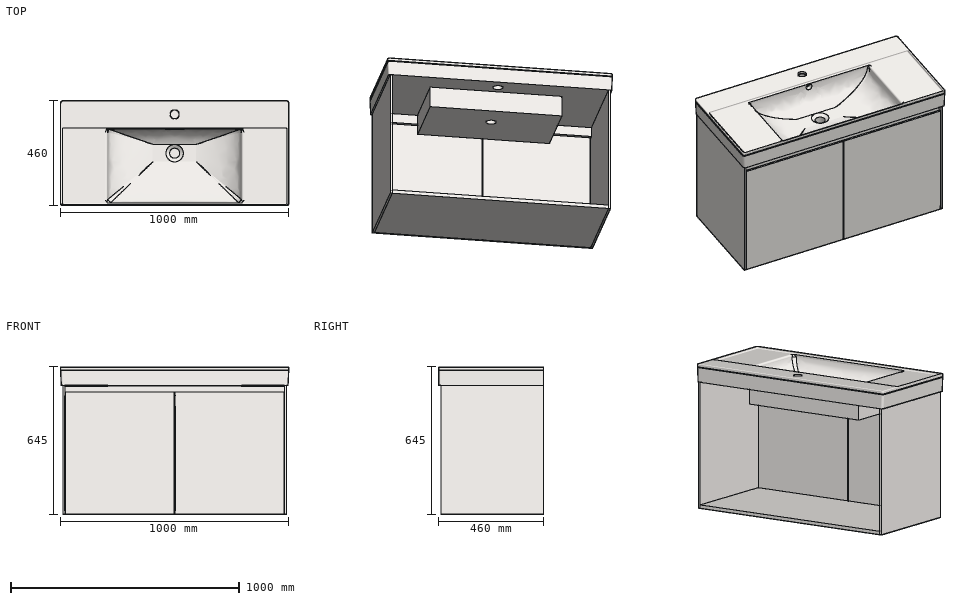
import cadquery as cq
import math


basin_width = 1000.0
basin_depth = 460.0
total_height = 645.0
skirt_height = 80.0
back_y = basin_depth / 2
front_y = -basin_depth / 2
skirt_z = total_height - skirt_height

side_draft = 3.0
corner_radius = 10.0
top_edge_radius = 3.0
groove_drop = 13.0
groove_height = 3.0
groove_depth = 2.0

recess_depth = 10.0
recess_rim_radius = 2.0
recess_floor_radius = 5.0
recess_side_lip = 8.0
recess_front_lip = 6.0
recess_back_y = 111.0
recess_corner_radius = 6.0
deck_z = total_height - recess_depth

bowl_floor_z = 517.0
bowl_floor_half_width = 95.0
bowl_floor_front_y = -38.0
bowl_floor_back_y = 39.0
bowl_half_width = 293.0
bowl_front_y = -217.0
bowl_back_y = 105.0
bowl_rim_radius = 10.0
wall_foot_control = (0.45, 0.08)
wall_top_control = (1.0, 0.45)
wall_top_z = deck_z - bowl_rim_radius
wall_rise = wall_top_z - bowl_floor_z
corner_bevel_width = 14.0
pan_wall = 18.0
pan_floor = 45.0

drain_radius = 22.0
drain_mouth_radius = 38.0
drain_mouth_depth = 11.0
tap_y = 170.0
tap_radius = 19.0
tap_deck_thickness = 13.0
tap_relief_radius = 22.0
overflow_radius = 14.0
overflow_z = 618.0
overflow_depth = 20.0

cabinet_width = 980.0
cabinet_front_y = front_y + 10.0
side_thickness = 9.0
door_side_gap = 2.0
door_middle_gap = 4.0
door_height = 535.0
door_thickness = 8.0
rail_setback = 15.0
panel_thickness = 16.0
rail_top_gap = 3.0
rail_overlap = 15.0
inside_width = cabinet_width - 2 * side_thickness
door_back_y = cabinet_front_y + door_thickness
rail_front_y = cabinet_front_y + rail_setback
rail_back_y = rail_front_y + panel_thickness


def block(x0, x1, y0, y1, z0, z1):
    """A box between two opposite corners."""
    return cq.Workplane("XY").box(x1 - x0, y1 - y0, z1 - z0, centered=False).translate((x0, y0, z0))


def wall_curve(foot, top):
    """Bezier control points of a bowl wall that starts nearly flat and ends steep."""
    run = top[0] - foot[0]
    rise = top[1] - foot[1]
    controls = (wall_foot_control, wall_top_control)
    return [foot, *[(foot[0] + across * run, foot[1] + up * rise) for across, up in controls], top]


def corner_bevel(side, floor_y, top_y):
    """Everything inside a bowl corner's bevel, which widens from nothing at the floor to the rim."""
    run_x = bowl_half_width - bowl_floor_half_width
    run_y = top_y - floor_y
    diagonal_run = math.hypot(run_x, run_y)
    reach = diagonal_run - corner_bevel_width * abs(run_y) / diagonal_run
    diagonal = cq.Plane(
        origin=(side * bowl_floor_half_width, floor_y, bowl_floor_z),
        xDir=(side * run_x, run_y, 0),
        normal=(run_y, -side * run_x, 0),
    )
    up = diagonal.yDir.z
    deck = up * (deck_z - bowl_floor_z)
    return (
        cq.Workplane(diagonal)
        .moveTo(-basin_width, 0)
        .lineTo(0, 0)
        .bezier(wall_curve((0, 0), (reach, up * wall_rise)))
        .lineTo(reach + bowl_rim_radius, deck)
        .lineTo(-basin_width, deck)
        .close()
        .extrude(basin_width, both=True)
    )


def bowl_shape():
    """The bowl's hollow: a width profile and a depth profile, intersected, with bevelled corners."""
    rim_half_width = bowl_half_width + bowl_rim_radius
    rim_mid_x = rim_half_width - bowl_rim_radius * math.sqrt(0.5)
    rim_mid_z = wall_top_z + bowl_rim_radius * math.sqrt(0.5)
    right_wall = wall_curve((bowl_floor_half_width, bowl_floor_z), (bowl_half_width, wall_top_z))
    left_wall = [(-x, z) for x, z in right_wall]
    across = (
        cq.Workplane("XZ", origin=(0, back_y, 0))
        .moveTo(*left_wall[0])
        .lineTo(*right_wall[0])
        .bezier(right_wall)
        .threePointArc((rim_mid_x, rim_mid_z), (rim_half_width, deck_z))
        .lineTo(-rim_half_width, deck_z)
        .threePointArc((-rim_mid_x, rim_mid_z), left_wall[-1])
        .bezier(left_wall[::-1])
        .close()
        .extrude(basin_depth)
    )
    back_wall = wall_curve((bowl_floor_back_y, bowl_floor_z), (bowl_back_y, wall_top_z))
    front_wall = wall_curve((bowl_floor_front_y, bowl_floor_z), (bowl_front_y, wall_top_z))
    along = (
        cq.Workplane("YZ", origin=(-basin_width / 2, 0, 0))
        .moveTo(*front_wall[0])
        .lineTo(*back_wall[0])
        .bezier(back_wall)
        .lineTo(bowl_back_y, deck_z)
        .lineTo(bowl_front_y, deck_z)
        .lineTo(*front_wall[-1])
        .bezier(front_wall[::-1])
        .close()
        .extrude(basin_width)
    )
    hollow = across.intersect(along)
    for side in (-1, 1):
        for floor_y, top_y in ((bowl_floor_front_y, bowl_front_y), (bowl_floor_back_y, bowl_back_y)):
            hollow = hollow.intersect(corner_bevel(side, floor_y, top_y))
    return hollow


def skirt():
    """The basin's outer block, drafted towards its foot, with a groove below its top edge."""
    half_top = basin_width / 2
    half_foot = half_top - side_draft
    groove_foot_z = total_height - groove_drop - groove_height
    body = (
        cq.Workplane("XZ", origin=(0, back_y, 0))
        .moveTo(-half_foot, skirt_z)
        .lineTo(half_foot, skirt_z)
        .lineTo(half_top, groove_foot_z)
        .lineTo(half_top, total_height)
        .lineTo(-half_top, total_height)
        .lineTo(-half_top, groove_foot_z)
        .close()
        .extrude(basin_depth)
        .edges("not(|X or |Y)")
        .fillet(corner_radius)
        .faces(">Z").edges()
        .fillet(top_edge_radius)
    )
    groove_centre = (0, 0, groove_foot_z + groove_height / 2)
    core = (
        cq.Workplane("XY")
        .box(basin_width - 2 * groove_depth, basin_depth - 2 * groove_depth, groove_height)
        .edges("|Z")
        .fillet(corner_radius - groove_depth)
    )
    ring = cq.Workplane("XY").box(2 * basin_width, 2 * basin_depth, groove_height).cut(core)
    return body.cut(ring.translate(groove_centre))


def cut_recess(body):
    """Sink the shallow tray in front of the tap ledge, then round its rim."""
    recess_front_y = front_y + recess_front_lip
    half_width = basin_width / 2 - recess_side_lip
    tray = (
        block(-half_width, half_width, recess_front_y, recess_back_y, deck_z, total_height)
        .edges("|Z")
        .fillet(recess_corner_radius)
        .faces("<Z").edges()
        .fillet(recess_floor_radius)
    )
    margin = (recess_front_lip - top_edge_radius) / 2
    rim = cq.selectors.BoxSelector(
        (-half_width - margin, recess_front_y - margin, total_height - margin),
        (half_width + margin, recess_back_y + margin, total_height + margin),
    )
    return body.cut(tray).edges(rim).fillet(recess_rim_radius)


def pan():
    """The box under the bowl that carries its floor."""
    return block(
        -bowl_half_width, bowl_half_width,
        rail_back_y, bowl_back_y + pan_wall,
        bowl_floor_z - pan_floor, skirt_z,
    )


def cylinder_down(radius, y, top_z, depth):
    return cq.Workplane("XY", origin=(0, y, top_z)).circle(radius).extrude(-depth)


def drain():
    mouth = cq.Solid.makeCone(
        drain_radius, drain_mouth_radius, drain_mouth_depth,
        pnt=cq.Vector(0, 0, bowl_floor_z - drain_mouth_depth),
    )
    return cylinder_down(drain_radius, 0, bowl_floor_z, pan_floor).union(cq.Workplane(mouth))


def tap_hole():
    relief_z = total_height - tap_deck_thickness
    relief = cylinder_down(tap_relief_radius, tap_y, relief_z, skirt_height)
    return cylinder_down(tap_radius, tap_y, total_height, skirt_height).union(relief)


def overflow_hole():
    end_y = bowl_back_y + overflow_depth
    return cq.Workplane("XZ", origin=(0, end_y, overflow_z)).circle(overflow_radius).extrude(2 * overflow_depth)


def make_basin():
    bowl = bowl_shape()
    bowl_bearer = cut_recess(skirt()).union(pan())
    return bowl_bearer.cut(bowl).cut(drain()).cut(tap_hole()).cut(overflow_hole())


def make_side_panel(side):
    outer_x = cabinet_width / 2
    panel = block(outer_x - side_thickness, outer_x, cabinet_front_y, back_y, 0, skirt_z)
    return panel if side > 0 else panel.mirror("YZ")


def make_door(side):
    hinge_x = inside_width / 2 - door_side_gap
    door = block(door_middle_gap / 2, hinge_x, cabinet_front_y, door_back_y, 0, door_height)
    return door if side > 0 else door.mirror("YZ")


def make_top_rail():
    return block(
        -inside_width / 2, inside_width / 2,
        rail_front_y, rail_back_y,
        door_height - rail_overlap, skirt_z - rail_top_gap,
    )


def make_bottom_panel():
    return block(-inside_width / 2, inside_width / 2, door_back_y, back_y, 0, panel_thickness)


basin = make_basin()
top_rail = make_top_rail()
bottom_panel = make_bottom_panel()
side_panels = [make_side_panel(side) for side in (-1, 1)]
doors = [make_door(side) for side in (-1, 1)]

result = cq.Compound.makeCompound(
    [
        basin.val(),
        top_rail.val(),
        bottom_panel.val(),
        *[panel.val() for panel in side_panels],
        *[door.val() for door in doors],
    ]
)